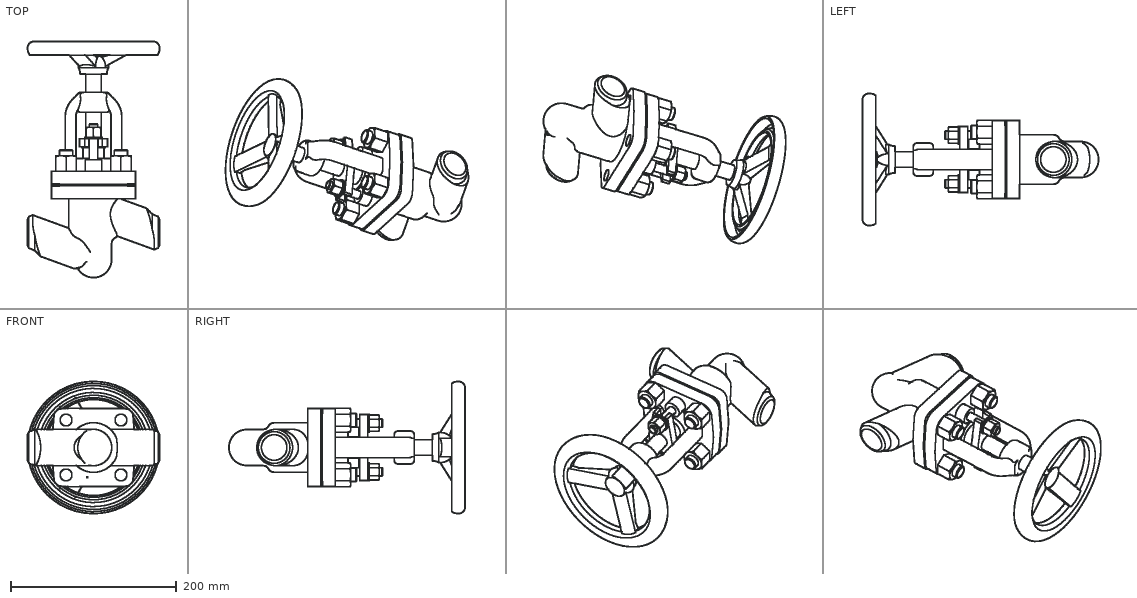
import cadquery as cq
import math


BODY_RADIUS = 30.0
PIPE_RADIUS = 22.0
ELBOW_RADIUS = PIPE_RADIUS
ELBOW_Y = -33.0
SHOULDER_ROUND = 7.7
SHOULDER_ANGLE = 60
PIPE_TILT = 20
PIPE_END_X = 80

FLANGE_HALF_Z = 47.2
FLANGE_HALF_X = 51.0
FLANGE_TAPER = 0.075
BODY_FLANGE_BOTTOM = 40.5
BODY_FLANGE_TOP = 56.3
BODY_FLANGE_ROUND = 10.5
BONNET_BOTTOM = 58.3
BONNET_TOP = 74.0
BONNET_ROUND = 14.3
GASKET_RADIUS = 28.5

STUD_SPACING = 66.4
STUD_RADIUS = 8.0
STUD_FOOT_RADIUS = 7.2
STUD_BOTTOM = BODY_FLANGE_BOTTOM + 0.3
STUD_TOP = 99.8
STUD_CHAMFER = 1.1
NUT_FLATS = 25.2
NUT_HEIGHT = 18.5

BOSS_RADIUS = 20.5
BOSS_TOP = 89.5
GLAND_RADIUS = 13.0
GLAND_PLATE_BOTTOM = 103.2
GLAND_PLATE_TOP = 113.3
GLAND_HALF_LENGTH = 40
GLAND_HALF_WIDTH = 17.2
GLAND_END_HALF_WIDTH = 10.3
GLAND_COLLAR_HALF_WIDTH = 14.3
GLAND_COLLAR_HALF_LENGTH = 23.2
GLAND_COLLAR_HEIGHT = 1.1
GLAND_SLOT_WIDTH = 12.0
GLAND_STUD_Z = 29.5
GLAND_STUD_RADIUS = 5.1
GLAND_STUD_TOP = 131.3
GLAND_STUD_CHAMFER = 1.0
GLAND_STUD_BOSS_RADIUS = 10.0
GLAND_STUD_BOSS_TOP = 87.5
GLAND_NUT_FLATS = 17.2
GLAND_NUT_HEIGHT = 12.0
WASHER_RADIUS = 11.0
WASHER_HEIGHT = 2.0

STEM_RADIUS = 9.5
STEM_TOP = 206
YOKE_RADIUS = 20
YOKE_BOTTOM = 145.0
YOKE_TOP = 169.5
YOKE_ROUND = 5.0
ARM_X = 27.7
ARM_WIDTH = 13.2
ARM_DEPTH = 25.2
ARM_BEND_Y = 139.9
ARM_BEND_RADIUS = 23
ARM_BEND_ANGLE = 45

WHEEL_RADIUS = 80
WHEEL_HOLE_RADIUS = 58.0
WHEEL_BOTTOM = 214.5
WHEEL_TOP = 231.0
WHEEL_HUB_BOTTOM = 191.3
WHEEL_HUB_TOP = 213.4
SPOKE_COUNT = 3
SPOKE_WIDTH = 23


def cylinder_y(radius, bottom, top, x=0, z=0):
    solid = cq.Solid.makeCylinder(radius, top - bottom, cq.Vector(x, bottom, z), cq.Vector(0, 1, 0))
    return cq.Workplane(solid)


def plane_below(top):
    """Plane across the stem at height `top`; extrusion from it runs toward -Y."""
    return cq.Workplane("XZ", origin=(0, top, 0))


def turned_about_y(profile):
    return profile.close().revolve(360, (0, 0), (0, 1))


def round_point(center_x, center_y, radius, degrees):
    angle = math.radians(degrees)
    return center_x + radius * math.cos(angle), center_y + radius * math.sin(angle)


def hex_nut(flats, bottom, height, x, z):
    """Nut with corners on Z and its upper corners turned off at 30 degrees."""
    corner_radius = flats / math.sqrt(3)
    top = bottom + height
    bevel = (corner_radius - flats / 2) * math.tan(math.radians(30))
    prism = plane_below(top).polygon(6, 2 * corner_radius).extrude(height).rotate((0, 0, 0), (0, 1, 0), 30)
    envelope = turned_about_y(
        cq.Workplane("XY")
        .moveTo(0, bottom)
        .lineTo(corner_radius, bottom)
        .lineTo(corner_radius, top - bevel)
        .lineTo(flats / 2, top)
        .lineTo(0, top)
    )
    return prism.intersect(envelope).translate((x, 0, z))


def body():
    """Bowl, neck and the spherical elbow at the foot."""
    turn = math.radians(SHOULDER_ANGLE)
    rounds_total = (BODY_RADIUS - ELBOW_RADIUS) / (1 - math.cos(turn))
    blend_round = rounds_total - SHOULDER_ROUND
    blend_y = -rounds_total * math.sin(turn)
    shoulder_x = BODY_RADIUS - SHOULDER_ROUND
    shoulder_mid = round_point(shoulder_x, 0, SHOULDER_ROUND, -SHOULDER_ANGLE / 2)
    shoulder_end = round_point(shoulder_x, 0, SHOULDER_ROUND, -SHOULDER_ANGLE)
    blend_mid = round_point(ELBOW_RADIUS + blend_round, blend_y, blend_round, 180 - SHOULDER_ANGLE / 2)
    return turned_about_y(
        cq.Workplane("XY")
        .moveTo(0, BODY_FLANGE_BOTTOM)
        .lineTo(BODY_RADIUS, BODY_FLANGE_BOTTOM)
        .lineTo(BODY_RADIUS, 0)
        .threePointArc(shoulder_mid, shoulder_end)
        .threePointArc(blend_mid, (ELBOW_RADIUS, blend_y))
        .lineTo(ELBOW_RADIUS, ELBOW_Y)
        .threePointArc(round_point(0, ELBOW_Y, ELBOW_RADIUS, -45), (0, ELBOW_Y - ELBOW_RADIUS))
    )


def pipe():
    """Tilted pipe on the +X side, its mouth turned to a stepped cone about the X axis."""
    tilt = math.radians(PIPE_TILT)
    direction = cq.Vector(-math.cos(tilt), math.sin(tilt), 0)
    overrun = 14.3
    length = PIPE_END_X / math.cos(tilt)
    start = cq.Vector(PIPE_END_X, 0, 0) - direction * overrun
    tube = cq.Workplane(cq.Solid.makeCylinder(PIPE_RADIUS, length + overrun, start, direction))
    clearance_radius = 2 * PIPE_RADIUS
    cone_end_x = 71.0
    cone_end_radius = 22.3
    envelope = (
        cq.Workplane("XY")
        .moveTo(-PIPE_END_X, 0)
        .lineTo(PIPE_END_X, 0)
        .lineTo(PIPE_END_X, 15.5)
        .lineTo(78.0, 19.2)
        .lineTo(cone_end_x, cone_end_radius)
        .lineTo(cone_end_x - (clearance_radius - cone_end_radius), clearance_radius)
        .lineTo(-PIPE_END_X, clearance_radius)
        .close()
        .revolve(360, (0, 0), (1, 0))
    )
    return tube.intersect(envelope)


def flange(bottom, top, corner_round):
    """Square plate whose two X sides rise to a shallow ridge at Z = 0."""
    end_half_x = FLANGE_HALF_X - FLANGE_TAPER * FLANGE_HALF_Z
    corners = [(sx * end_half_x, sz * FLANGE_HALF_Z) for sx, sz in ((1, -1), (1, 1), (-1, 1), (-1, -1))]
    outline = corners[:1] + [(FLANGE_HALF_X, 0)] + corners[1:3] + [(-FLANGE_HALF_X, 0)] + corners[3:]
    plate = plane_below(top).polyline(outline).close().extrude(top - bottom)
    return plate.edges("|Y and (>Z or <Z)").fillet(corner_round)


def stud_places():
    half = STUD_SPACING / 2
    return [(x, z) for x in (-half, half) for z in (-half, half)]


def flange_stud(x, z):
    stud = cylinder_y(STUD_RADIUS, STUD_BOTTOM, STUD_TOP, x, z).faces(">Y").chamfer(STUD_CHAMFER)
    return stud.union(hex_nut(NUT_FLATS, BONNET_TOP, NUT_HEIGHT, x, z))


def stud_foot_recess(x, z):
    """Shallow recess where the stud stops just short of the flange face."""
    return cylinder_y(STUD_FOOT_RADIUS, BODY_FLANGE_BOTTOM, STUD_BOTTOM, x, z)


def gland():
    """Bonnet boss, gland sleeve and the slotted lozenge plate that presses on it."""
    height = GLAND_PLATE_TOP - GLAND_PLATE_BOTTOM
    outline = [
        (GLAND_HALF_WIDTH, 0),
        (GLAND_END_HALF_WIDTH, GLAND_HALF_LENGTH),
        (-GLAND_END_HALF_WIDTH, GLAND_HALF_LENGTH),
        (-GLAND_HALF_WIDTH, 0),
        (-GLAND_END_HALF_WIDTH, -GLAND_HALF_LENGTH),
        (GLAND_END_HALF_WIDTH, -GLAND_HALF_LENGTH),
    ]
    plate = plane_below(GLAND_PLATE_TOP).polyline(outline).close().extrude(height)
    slot_length = 2 * (GLAND_HALF_LENGTH - GLAND_STUD_Z) + 2 * GLAND_SLOT_WIDTH
    slot_center = GLAND_STUD_Z + (slot_length - GLAND_SLOT_WIDTH) / 2
    slots = (
        plane_below(GLAND_PLATE_TOP)
        .pushPoints([(0, slot_center), (0, -slot_center)])
        .slot2D(slot_length, GLAND_SLOT_WIDTH, 90)
        .extrude(height)
    )
    collar = (
        plane_below(GLAND_PLATE_BOTTOM)
        .ellipse(GLAND_COLLAR_HALF_WIDTH, GLAND_COLLAR_HALF_LENGTH)
        .extrude(GLAND_COLLAR_HEIGHT)
    )
    return (
        plate.cut(slots)
        .union(collar)
        .union(cylinder_y(GLAND_RADIUS, BOSS_TOP, GLAND_PLATE_BOTTOM))
        .union(cylinder_y(BOSS_RADIUS, BONNET_TOP, BOSS_TOP))
    )


def gland_stud(z):
    nut_seat = GLAND_PLATE_TOP + WASHER_HEIGHT
    stud = cylinder_y(GLAND_STUD_RADIUS, BONNET_TOP, GLAND_STUD_TOP, 0, z)
    return (
        stud.faces(">Y")
        .chamfer(GLAND_STUD_CHAMFER)
        .union(cylinder_y(GLAND_STUD_BOSS_RADIUS, BONNET_TOP, GLAND_STUD_BOSS_TOP, 0, z))
        .union(cylinder_y(WASHER_RADIUS, GLAND_PLATE_TOP, nut_seat, 0, z))
        .union(hex_nut(GLAND_NUT_FLATS, nut_seat, GLAND_NUT_HEIGHT, 0, z))
    )


def yoke_arm():
    """Arm on the +X side: straight up from the bonnet, then bent inward to the yoke hub."""
    center_x = ARM_X - ARM_BEND_RADIUS
    bend_mid = round_point(center_x, ARM_BEND_Y, ARM_BEND_RADIUS, ARM_BEND_ANGLE / 2)
    bend_end_x, bend_end_y = round_point(center_x, ARM_BEND_Y, ARM_BEND_RADIUS, ARM_BEND_ANGLE)
    inner_x = STEM_RADIUS
    inner_y = bend_end_y + (bend_end_x - inner_x) / math.tan(math.radians(ARM_BEND_ANGLE))
    path = (
        cq.Workplane("XY")
        .moveTo(ARM_X, BONNET_TOP)
        .lineTo(ARM_X, ARM_BEND_Y)
        .threePointArc(bend_mid, (bend_end_x, bend_end_y))
        .lineTo(inner_x, inner_y)
    )
    section = cq.Workplane("XZ", origin=(ARM_X, BONNET_TOP, 0)).slot2D(ARM_DEPTH, ARM_WIDTH, 90)
    arm = section.sweep(path)
    return arm.intersect(cylinder_y(2 * ARM_X, BONNET_TOP, YOKE_TOP))


def yoke_hub():
    return cylinder_y(YOKE_RADIUS, YOKE_BOTTOM, YOKE_TOP).edges().fillet(YOKE_ROUND)


def wheel_rim():
    """Ring with a channel in its underside between the grip and an inner lip."""
    grip_middle = 222.8
    grip_round = WHEEL_TOP - grip_middle
    grip_lower_round = 13.5
    channel_floor = 226.5
    lip_bottom = 218.5
    return turned_about_y(
        cq.Workplane("XY")
        .moveTo(77.5, WHEEL_BOTTOM)
        .radiusArc((WHEEL_RADIUS, grip_middle), -grip_lower_round)
        .radiusArc((WHEEL_RADIUS - grip_round, WHEEL_TOP), -grip_round)
        .lineTo(63, WHEEL_TOP)
        .lineTo(WHEEL_HOLE_RADIUS, 226)
        .lineTo(WHEEL_HOLE_RADIUS, lip_bottom)
        .lineTo(60.3, lip_bottom)
        .lineTo(63.2, 220.5)
        .lineTo(66.5, channel_floor)
        .lineTo(71.5, channel_floor)
        .threePointArc((73.8, 224.2), (75.0, 220.2))
        .lineTo(75.0, WHEEL_BOTTOM)
    )


def wheel_hub():
    """Hub that flares upward from the stem and closes in as a dome between the spokes."""
    return turned_about_y(
        cq.Workplane("XY")
        .moveTo(0, WHEEL_HUB_BOTTOM)
        .lineTo(16.3, WHEEL_HUB_BOTTOM)
        .threePointArc((17.0, 195.5), (18.3, 199.3))
        .threePointArc((17.7, 206.2), (13.7, WHEEL_HUB_TOP))
        .lineTo(0, WHEEL_HUB_TOP)
    )


def wheel_spoke():
    """Spoke along +X, rising and thinning from the hub to the rim."""
    outer_end = 63
    underside = [(0, 192.8), (48.5, 219.5), (outer_end, 221.0)]
    upper_side = [(outer_end, 228.8), (0, 208.8)]
    profile = cq.Workplane("XY").polyline(underside + upper_side).close()
    return profile.extrude(SPOKE_WIDTH / 2, both=True)


def handwheel():
    wheel = wheel_rim().union(wheel_hub())
    for index in range(SPOKE_COUNT):
        angle = index * 360 / SPOKE_COUNT
        wheel = wheel.union(wheel_spoke().rotate((0, 0, 0), (0, 1, 0), angle))
    return wheel


result = body().union(pipe()).union(pipe().rotate((0, 0, 0), (0, 0, 1), 180))
result = result.union(flange(BODY_FLANGE_BOTTOM, BODY_FLANGE_TOP, BODY_FLANGE_ROUND))
result = result.union(cylinder_y(GASKET_RADIUS, BODY_FLANGE_TOP, BONNET_BOTTOM))
result = result.union(flange(BONNET_BOTTOM, BONNET_TOP, BONNET_ROUND))
for stud_x, stud_z in stud_places():
    result = result.union(flange_stud(stud_x, stud_z)).cut(stud_foot_recess(stud_x, stud_z))

result = result.union(gland())
for stud_z in (-GLAND_STUD_Z, GLAND_STUD_Z):
    result = result.union(gland_stud(stud_z))

result = result.union(yoke_hub()).union(yoke_arm()).union(yoke_arm().mirror("YZ"))
result = result.union(cylinder_y(STEM_RADIUS, BONNET_TOP, STEM_TOP))
result = result.union(handwheel())